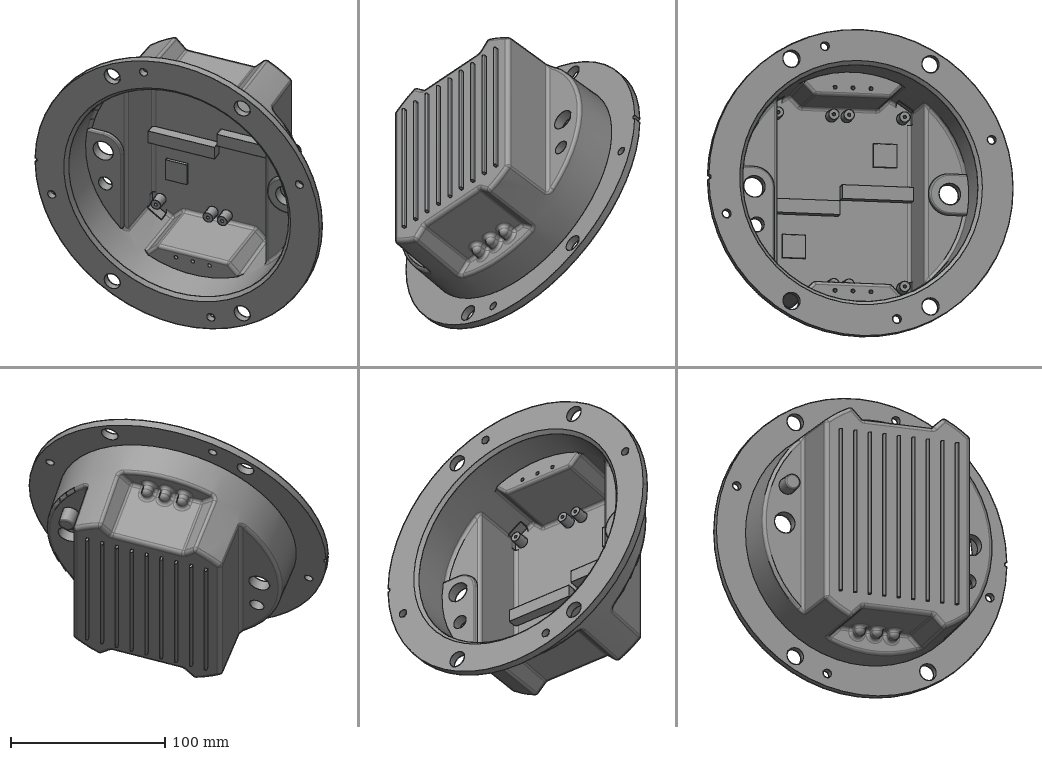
import cadquery as cq
import math

flange_radius = 101.0
flange_thickness = 5.0
wall = 2.8
draft = math.tan(math.radians(1.7))

body_radius = 80.8
block_half_width = 50.5
back_y = 71.3
shoulder_y = 34.7
shoulder_thickness = 4.6
recess_y = 27.7
recess_z = 64.2
recess_half_width = 24.2
mouth_chamfer = 2.5
tolerance = 0.2
outer_fillet = 2.2
back_fillet = 2.8
inner_fillet = 2.2

cavity_back_y = back_y - wall
ledge_y = shoulder_y - shoulder_thickness

bolt_circle_radius = 92.3
bolt_hole_radius = 5.7
bolt_angles = (60, 120, 240, 300)
pin_hole_radius = 2.8
pin_angles = (20, 105, 195, 285)
rim_notch_radius = 1.51

port_x = 64.8
port_radius = 7.0
pad_base_radius = 13.7
pad_height = 2.6
pad_taper = 15
pad_fillet = 1.0
vent_x = 63.2
vent_z = 25.0
vent_radius = 4.8
peg_base_radius = 5.7
peg_top_radius = 5.0
peg_height = 10.5
peg_fillet = 0.8

post_spacing = 12.0
post_z = 67.0
post_radius = 3.53
post_dome_y = 33.1
post_hole_radius = 1.2

fin_count = 9
fin_spacing = 10.0
fin_width = 1.8
fin_length = 110.3
fin_height = 2.6
fin_tip_fillet = 0.8

standoff_x = (5.0, 42.0)
standoff_z = 56.0
standoff_radius = 3.8
standoff_tip_radius = 3.5
standoff_hole_radius = 1.0
standoff_height = 8.0
clearance_inner = 4.0
clearance_x = 5.9
clearance_radius = 76.8
bar_height = 6.9
bar_width = 9.0
bar_end = 48.3
bar_gap = 0.8
chip_size = 15.4
chip_inner = 22.6
chip_z = 31.1
chip_height = 2.0


def fuse(base, parts):
    """Join several parts to a base at once."""
    return cq.Workplane(base.val().fuse(*[part.val() for part in parts]).clean())


def subtract(base, parts):
    """Cut several parts from a base at once."""
    return cq.Workplane(base.val().cut(*[part.val() for part in parts]))


def cylinder(x, z, radius, y_start, y_end):
    """Cylinder along +Y."""
    plane = cq.Plane(origin=(x, y_start, z), xDir=(1, 0, 0), normal=(0, 1, 0))
    return cq.Workplane(plane).circle(radius).extrude(y_end - y_start)


def cone(x, z, base_radius, base_y, tip_radius, tip_y):
    """Tapered round along Y, from its base to its tip."""
    profile = cq.Workplane("XY").polyline([(0, base_y), (base_radius, base_y), (tip_radius, tip_y), (0, tip_y)])
    return profile.close().revolve(360, (0, 0), (0, 1)).translate((x, 0, z))


def domed_post(x, z):
    """Round post along +Y with a hemispherical end."""
    root_y = recess_y - wall / 2
    profile = (
        cq.Workplane("XY")
        .moveTo(0, root_y)
        .lineTo(post_radius, root_y)
        .lineTo(post_radius, post_dome_y)
        .radiusArc((0, post_dome_y + post_radius), -post_radius)
        .close()
    )
    return profile.revolve(360, (0, 0), (0, 1)).translate((x, 0, z))


def box(x_range, y_range, z_range):
    """Box between pairs of limits."""
    sizes = [high - low for low, high in (x_range, y_range, z_range)]
    solid = cq.Workplane("XY").box(*sizes, centered=False)
    return solid.translate((x_range[0], y_range[0], z_range[0]))


def stepped_form(inset, front_y, step_y, recess_floor_y, end_y):
    """Drafted round form with both sides stepped back and a recess at top and bottom."""
    front_radius = body_radius - inset - draft * (front_y - flange_thickness)
    end_radius = body_radius - inset - draft * (end_y - flange_thickness)
    form = (
        cq.Workplane("XY")
        .polyline([(0, front_y), (front_radius, front_y), (end_radius, end_y), (0, end_y)])
        .close()
        .revolve(360, (0, 0), (0, 1))
    )
    end_x = block_half_width - inset + draft * (back_y - end_y)
    step_x = block_half_width - inset + draft * (back_y - step_y)
    far = flange_radius
    side = (
        cq.Workplane("XY")
        .polyline([(step_x, step_y), (far, step_y), (far, end_y), (end_x, end_y)])
        .close()
        .extrude(far, both=True)
    )
    flat_z = recess_z - inset
    flat_x = recess_half_width + inset * math.tan(math.radians(22.5))
    flank = far - flat_z
    recess_plane = cq.Plane(origin=(0, recess_floor_y, 0), xDir=(-1, 0, 0), normal=(0, 1, 0))
    recess = (
        cq.Workplane(recess_plane)
        .polyline([(-flat_x, flat_z), (flat_x, flat_z), (flat_x + flank, far), (-flat_x - flank, far)])
        .close()
        .extrude(end_y - recess_floor_y)
    )
    form = form.cut(side).cut(side.mirror("YZ"))
    return form.cut(recess).cut(recess.mirror("XY"))


def edges_between(solid, y_low, y_high):
    """Select the edges whose middle lies between two depths."""
    return solid.newObject([edge for edge in solid.edges().vals() if y_low < edge.Center().y < y_high])


post_places = [(step * post_spacing, z) for step in (-1, 0, 1) for z in (-post_z, post_z)]
outer = stepped_form(0, flange_thickness / 2, shoulder_y, recess_y, back_y)
outer = fuse(outer, [domed_post(x, z) for x, z in post_places])
outer = edges_between(outer, recess_y - tolerance, back_y - tolerance).fillet(outer_fillet)
outer = outer.faces(">Y").edges().fillet(back_fillet)

cavity_recess_y = recess_y - wall
cavity = stepped_form(wall, 0, ledge_y, cavity_recess_y, cavity_back_y)
rim_edges = edges_between(cavity, cavity_recess_y - tolerance, cavity_recess_y + tolerance).edges("%CIRCLE").vals()
rounded_edges = [
    edge
    for edge in edges_between(cavity, cavity_recess_y - tolerance, back_y).vals()
    if edge not in rim_edges
]
cavity = cavity.newObject(rounded_edges).fillet(inner_fillet)

pad_plane = cq.Plane(origin=(0, ledge_y, 0), xDir=(1, 0, 0), normal=(0, -1, 0))
reach = body_radius
right_pad = (
    cq.Workplane(pad_plane)
    .moveTo(reach, pad_base_radius)
    .lineTo(port_x, pad_base_radius)
    .threePointArc((port_x - pad_base_radius, 0), (port_x, -pad_base_radius))
    .lineTo(reach, -pad_base_radius)
    .close()
    .extrude(pad_height, taper=pad_taper)
)
left_pad = (
    cq.Workplane(pad_plane)
    .moveTo(-reach, pad_base_radius)
    .lineTo(-port_x, pad_base_radius)
    .radiusArc((-port_x + pad_base_radius, 0), pad_base_radius)
    .lineTo(-port_x + pad_base_radius, -reach)
    .lineTo(-reach, -reach)
    .close()
    .extrude(pad_height, taper=pad_taper)
)
pads = [pad.faces("<Y").edges().fillet(pad_fillet) for pad in (right_pad, left_pad)]
cavity = subtract(cavity, pads)

clearance_y = cavity_back_y - standoff_height
clearances = []
for x_side in (-1, 1):
    for z_side in (-1, 1):
        x_limits = sorted(x_side * (standoff_x[-1] + reach) for reach in (-clearance_inner, clearance_x))
        z_limits = sorted((z_side * (standoff_z - clearance_inner), z_side * clearance_radius))
        pocket = box(x_limits, (clearance_y, cavity_back_y), z_limits)
        clearances.append(pocket.intersect(cylinder(0, 0, clearance_radius, clearance_y, cavity_back_y)))
cavity = fuse(cavity, clearances)

flange = cylinder(0, 0, flange_radius, 0, flange_thickness)
result = subtract(fuse(outer, [flange]), [cavity])

mouth_radius = body_radius - wall + draft * flange_thickness
mouth = (
    cq.Workplane("XZ")
    .circle(mouth_radius + mouth_chamfer)
    .workplane(offset=-mouth_chamfer)
    .circle(mouth_radius)
    .loft()
)

holes = [mouth, cylinder(-flange_radius, 0, rim_notch_radius, 0, flange_thickness)]
for radius, angles in ((bolt_hole_radius, bolt_angles), (pin_hole_radius, pin_angles)):
    for angle in angles:
        x = bolt_circle_radius * math.cos(math.radians(angle))
        z = bolt_circle_radius * math.sin(math.radians(angle))
        holes.append(cylinder(x, z, radius, 0, flange_thickness))
for x in (-port_x, port_x):
    holes.append(cylinder(x, 0, port_radius, 0, back_y))
holes.append(cylinder(-vent_x, -vent_z, vent_radius, 0, back_y))
for x, z in post_places:
    holes.append(cylinder(x, z, post_hole_radius, 0, post_dome_y))
result = subtract(result, holes)

root_depth = wall / 2
peg = cone(vent_x, vent_z, peg_base_radius, shoulder_y - root_depth, peg_top_radius, shoulder_y + peg_height)
attached = [peg.faces(">Y").edges().fillet(peg_fillet)]

for index in range(fin_count):
    x = (index - (fin_count - 1) / 2) * fin_spacing
    fin = box(
        (x - fin_width / 2, x + fin_width / 2),
        (back_y - root_depth, back_y + fin_height),
        (-fin_length / 2, fin_length / 2),
    )
    attached.append(fin.edges("|Z and >Y").fillet(fin_tip_fillet))

standoff_y = cavity_back_y - standoff_height
root_y = cavity_back_y + root_depth
standoff_holes = []
for x_abs in standoff_x:
    for x in (-x_abs, x_abs):
        for z in (-standoff_z, standoff_z):
            attached.append(cone(x, z, standoff_radius, root_y, standoff_tip_radius, standoff_y))
            standoff_holes.append(cylinder(x, z, standoff_hole_radius, standoff_y, cavity_back_y))

bar = box((bar_gap, bar_end), (cavity_back_y - bar_height, root_y), (bar_gap, bar_gap + bar_width))
chip = box(
    (chip_inner, chip_inner + chip_size),
    (cavity_back_y - chip_height, root_y),
    (chip_z - chip_size / 2, chip_z + chip_size / 2),
)
for block in (bar, chip):
    attached.append(block)
    attached.append(block.rotate((0, 0, 0), (0, 1, 0), 180))

result = subtract(fuse(result, attached), standoff_holes)